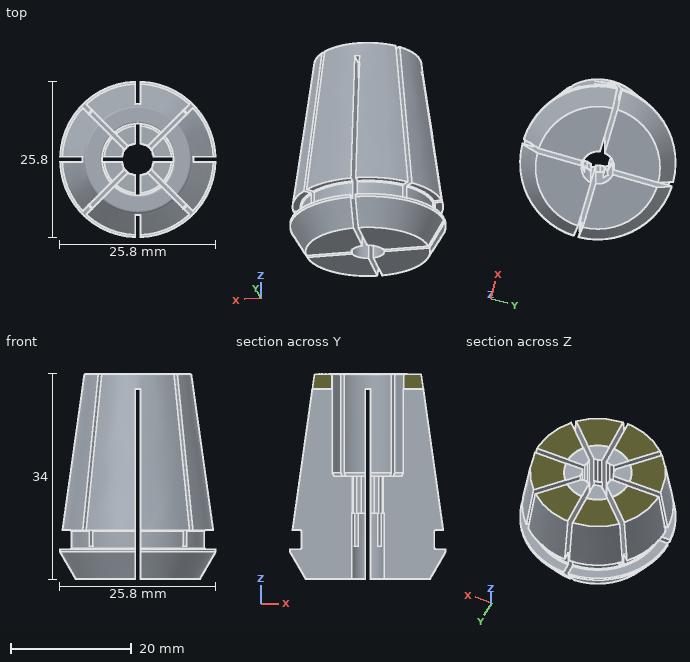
import cadquery as cq
import math

height = 34.0

collar_diameter = 25.8
collar_radius = collar_diameter / 2
collar_cone_angle = 30.0
collar_cone_height = 4.5
collar_top = 4.95
collar_base_radius = collar_radius - collar_cone_height * math.tan(math.radians(collar_cone_angle))

groove_radius = 11.0
groove_top = 8.1
groove_corner = 0.17

taper_angle = 8.0
taper_base_radius = 12.5
taper_top_radius = taper_base_radius - (height - groove_top) * math.tan(math.radians(taper_angle))

rim_rounding = 0.37

upper_bore_radius = 5.9
upper_bore_floor = 17.0
upper_bore_floor_radius = 5.58
upper_bore_cone_angle = 30.0
upper_bore_cone_width = upper_bore_radius - upper_bore_floor_radius
upper_bore_cone_height = upper_bore_cone_width / math.tan(math.radians(upper_bore_cone_angle))
socket_side = 4.75
socket_bow_radius = 2.62
socket_floor = 10.88
lower_bore_radius = 2.72

slot_width = 0.8
base_slot_end = 31.45
top_slot_floor = 5.45
slot_length = collar_diameter + 3.4


def collet_body():
    """Solid of revolution: collar, groove and taper."""
    profile = (
        cq.Workplane("XZ")
        .lineTo(collar_base_radius, 0)
        .lineTo(collar_radius, collar_cone_height)
        .lineTo(collar_radius, collar_top)
        .lineTo(groove_radius + groove_corner, collar_top)
        .lineTo(groove_radius, collar_top + groove_corner)
        .lineTo(groove_radius, groove_top - groove_corner)
        .lineTo(groove_radius + groove_corner, groove_top)
        .lineTo(taper_base_radius, groove_top)
        .lineTo(taper_top_radius, height)
        .lineTo(0, height)
        .close()
    )
    return profile.revolve(360, (0, 0, 0), (0, 1, 0))


def upper_bore():
    """Wide bore from the top that ends in a short cone above its flat floor."""
    profile = (
        cq.Workplane("XZ")
        .moveTo(0, upper_bore_floor)
        .lineTo(upper_bore_floor_radius, upper_bore_floor)
        .lineTo(upper_bore_radius, upper_bore_floor + upper_bore_cone_height)
        .lineTo(upper_bore_radius, height)
        .lineTo(0, height)
        .close()
    )
    return profile.revolve(360, (0, 0, 0), (0, 1, 0))


def square_socket():
    """Square socket below the upper bore, its sides bowed out by a concentric round hole."""
    depth = upper_bore_floor - socket_floor
    floor_plane = cq.Workplane("XY").workplane(offset=socket_floor)
    square = floor_plane.rect(socket_side, socket_side).extrude(depth)
    round_hole = floor_plane.circle(socket_bow_radius).extrude(depth)
    return square.union(round_hole)


def lower_bore():
    """Round bore from the base up to the socket."""
    return cq.Workplane("XY").circle(lower_bore_radius).extrude(socket_floor)


def crossed_slots(bottom, top, start_angle):
    """Two slots crossing at right angles on the axis."""
    slots = cq.Workplane("XY")
    for angle in (start_angle, start_angle + 90):
        slot = (
            cq.Workplane("XY")
            .workplane(offset=bottom)
            .rect(slot_length, slot_width)
            .extrude(top - bottom)
            .rotate((0, 0, 0), (0, 0, 1), angle)
        )
        slots = slots.add(slot)
    return slots.combine()


body = collet_body().cut(upper_bore()).faces(">Z").edges().fillet(rim_rounding)
body = body.cut(square_socket()).cut(lower_bore())

base_slots = crossed_slots(0, base_slot_end, 0)
top_slots = crossed_slots(top_slot_floor, height, 45)
result = body.cut(base_slots).cut(top_slots)